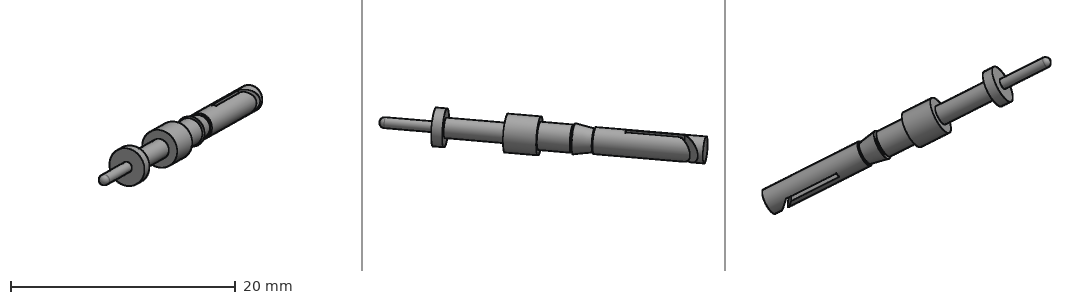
import cadquery as cq
import math


pin_radius = 0.5
pin_length = 5.0

flange_radius = 1.75
flange_length = 1.0
stem_radius = 0.925
stem_length = 5.5
collar_radius = flange_radius
collar_length = 3.0

shank_radius = 1.275
shank_length = 2.95
groove_radius = 1.0
groove_width = 0.2
cone_front_radius = 1.4
cone_back_radius = 1.08
cone_length = 1.75
neck_radius = 1.05
neck_length = 0.1

sleeve_radius = 1.22
sleeve_length = 10.0
slot_width = 0.45
slot_start = 2.8
slot_bend = 8.1
slot_lean = 45.0
mouth_width = 0.5

collar_front = flange_length + stem_length
collar_back = collar_front + collar_length
shank_back = collar_back + shank_length
cone_front = shank_back + groove_width
cone_back = cone_front + cone_length
sleeve_front = cone_back + neck_length
sleeve_back = sleeve_front + sleeve_length


def cylinder(radius, start, end):
    """Solid cylinder on the Y axis between two stations."""
    return cq.Workplane("XZ", origin=(0, start, 0)).circle(radius).extrude(start - end)


def make_pin():
    """Straight pin ending in a hemisphere."""
    dome_center = -pin_length + pin_radius
    dome = cq.Workplane("XY", origin=(0, dome_center, 0)).sphere(pin_radius)
    return cylinder(pin_radius, dome_center, 0).union(dome)


def make_cone():
    """Locking cone, widest at the groove and tapering towards the sleeve."""
    return (
        cq.Workplane("XY")
        .moveTo(0, cone_front)
        .lineTo(cone_front_radius, cone_front)
        .lineTo(cone_back_radius, cone_back)
        .lineTo(0, cone_back)
        .close()
        .revolve(360, (0, 0, 0), (0, 1, 0))
    )


def make_slot():
    """Slot cut through along Z: a straight axial run, then a wider run leaning out through +X."""
    half_width = slot_width / 2
    lean = math.radians(slot_lean)
    mouth_gap = mouth_width / math.sin(lean)
    outer_x = 2 * sleeve_radius
    slot_end = sleeve_front + slot_start
    upper_bend = sleeve_front + slot_bend
    upper_mouth = upper_bend + (outer_x + half_width) / math.tan(lean)
    lower_mouth = upper_mouth - mouth_gap
    lower_bend = lower_mouth - (outer_x - half_width) / math.tan(lean)
    return (
        cq.Workplane("XY", origin=(0, 0, -sleeve_radius))
        .moveTo(-half_width, slot_end)
        .lineTo(half_width, slot_end)
        .lineTo(half_width, lower_bend)
        .lineTo(outer_x, lower_mouth)
        .lineTo(outer_x, upper_mouth)
        .lineTo(-half_width, upper_bend)
        .close()
        .extrude(2 * sleeve_radius)
    )


flange = cylinder(flange_radius, 0, flange_length)
stem = cylinder(stem_radius, flange_length, collar_front)
collar = cylinder(collar_radius, collar_front, collar_back)
shank = cylinder(shank_radius, collar_back, shank_back)
groove_core = cylinder(groove_radius, shank_back, cone_front)
neck = cylinder(neck_radius, cone_back, sleeve_front)
sleeve = cylinder(sleeve_radius, sleeve_front, sleeve_back).cut(make_slot())

result = make_pin()
for section in (flange, stem, collar, shank, groove_core, make_cone(), neck, sleeve):
    result = result.union(section)